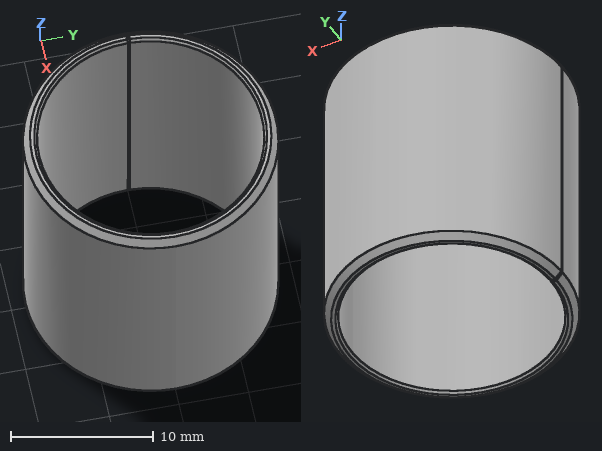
import cadquery as cq

length = 20
outer_diameter = 18
wall = 1
inner_diameter = outer_diameter - 2 * wall

outer_chamfer = 0.5
inner_chamfer = 0.2

slit_width = 0.15

outer_radius = outer_diameter / 2
inner_radius = inner_diameter / 2
half_length = length / 2


def bushing_ring():
    """Revolve the wall section, chamfered at all four corners."""
    return (
        cq.Workplane("XZ")
        .moveTo(inner_radius + inner_chamfer, -half_length)
        .lineTo(outer_radius - outer_chamfer, -half_length)
        .lineTo(outer_radius, -half_length + outer_chamfer)
        .lineTo(outer_radius, half_length - outer_chamfer)
        .lineTo(outer_radius - outer_chamfer, half_length)
        .lineTo(inner_radius + inner_chamfer, half_length)
        .lineTo(inner_radius, half_length - inner_chamfer)
        .lineTo(inner_radius, -half_length + inner_chamfer)
        .close()
        .revolve(360, (0, 0, 0), (0, 1, 0))
    )


def slit_cutter():
    """Full-length blade reaching from the axis out past the -X wall."""
    return cq.Workplane("XY").box(
        outer_diameter, slit_width, length, centered=(True, False, True)
    ).translate((-outer_radius, 0, 0))


result = bushing_ring().cut(slit_cutter())